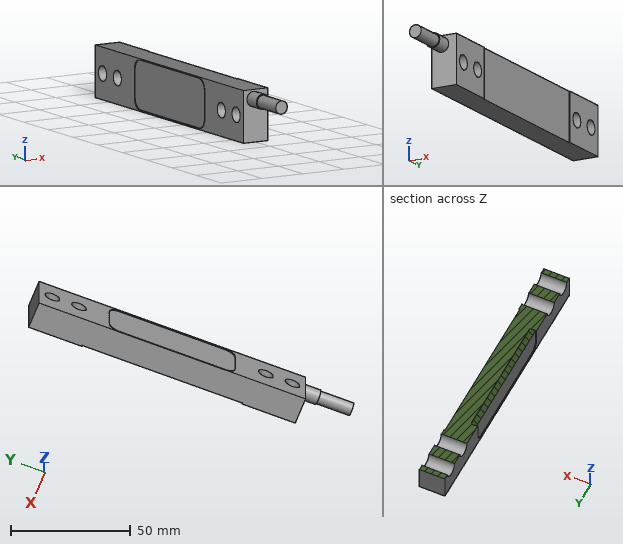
import cadquery as cq

beam_width = 12.0
beam_length = 120.0
beam_height = 22.5

hole_diameter = 6.5
hole_end_distance = 6.0
hole_pitch = 12.0

relief_depth = 0.4
pad_length = 24.0

pocket_length = 56.6
pocket_height = 21.4
pocket_corner_radius = 4.5
pocket_depth = 3.0
cover_recess = 0.4

outlet_side_distance = 5.0
outlet_top_gap = 0.78
sleeve_diameter = 6.5
sleeve_length = 7.5
cable_diameter = 5.7
cable_length = 15.0

beam_side_x = -beam_width / 2
beam_middle_y = beam_length / 2
outlet_x = beam_side_x + outlet_side_distance
outlet_z = beam_height / 2 - outlet_top_gap - sleeve_diameter / 2


def rounded_slab(start_x, thickness):
    """Slab with the pocket outline, growing toward +X from start_x."""
    return (
        cq.Workplane("YZ", origin=(start_x, beam_middle_y, 0))
        .rect(pocket_length, pocket_height)
        .extrude(thickness)
        .edges("|X")
        .fillet(pocket_corner_radius)
    )


def make_beam():
    """Bar with the relief, the mounting holes and the cover pocket cut away."""
    beam = cq.Workplane("XY").box(beam_width, beam_length, beam_height).translate((0, beam_middle_y, 0))

    relief = cq.Workplane("XY").box(2 * relief_depth, beam_length - 2 * pad_length, beam_height)
    beam = beam.cut(relief.translate((beam_width / 2, beam_middle_y, 0)))

    outer_offset = beam_middle_y - hole_end_distance
    inner_offset = outer_offset - hole_pitch
    hole_offsets = [-outer_offset, -inner_offset, inner_offset, outer_offset]
    holes = (
        cq.Workplane("YZ", origin=(beam_side_x, beam_middle_y, 0))
        .pushPoints([(offset, 0) for offset in hole_offsets])
        .circle(hole_diameter / 2)
        .extrude(beam_width)
    )
    beam = beam.cut(holes)

    return beam.cut(rounded_slab(beam_side_x, pocket_depth))


def make_cover():
    """Plate that fills the pocket, set back slightly from the beam's side."""
    return rounded_slab(beam_side_x + cover_recess, pocket_depth - cover_recess)


def outlet_cylinder(start_y, diameter, length):
    """Cylinder on the outlet axis, running toward -Y from start_y."""
    return cq.Workplane("XZ", origin=(outlet_x, start_y, outlet_z)).circle(diameter / 2).extrude(length)


beam = make_beam()
cover = make_cover()
sleeve = outlet_cylinder(0, sleeve_diameter, sleeve_length)
cable = outlet_cylinder(-sleeve_length, cable_diameter, cable_length)

result = cq.Compound.makeCompound([beam.val(), cover.val(), sleeve.val(), cable.val()])